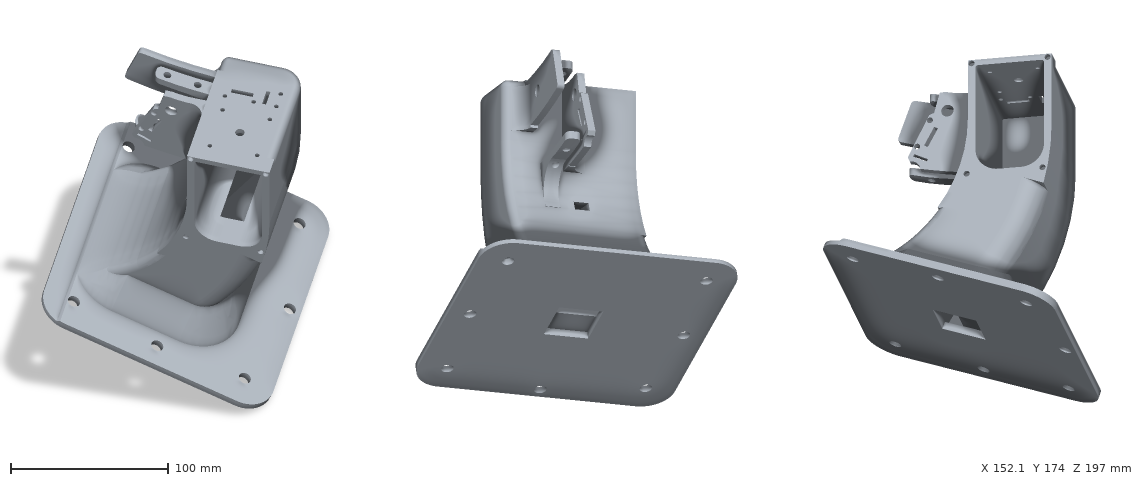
import cadquery as cq
import math

TILT = math.radians(20)

plate_length = 160.0
plate_width = 174.0
plate_thickness = 5.0
plate_corner_radius = 20.0
lip_length = 14.0
lip_step = 2.0
plate_hole_diameter = 8.0

half_width = 45.0
wall = 5.0
top_z = 91.5
left_x = 13.0
right_x = 67.4
inner_radius = 101.0
inner_center_z = 50.6
outer_radius = 158.5
outer_center_z = 42.0
small_round = 5.0
large_round = 15.0

tab_thickness = 5.0
tab_root_radius = 10.0

plate_center_x = 0.5 * plate_thickness * math.sin(TILT)
plate_center_z = -98.5 + 0.5 * plate_length * math.sin(TILT) + plate_thickness * math.cos(TILT)


def plate_plane(height=0.0):
    """Plane parallel to the plate, at a height above the centre of its top face."""
    origin = (
        plate_center_x + height * math.sin(TILT),
        0,
        plate_center_z + height * math.cos(TILT),
    )
    return cq.Workplane(
        cq.Plane(
            origin=origin,
            xDir=(math.cos(TILT), 0, -math.sin(TILT)),
            normal=(math.sin(TILT), 0, math.cos(TILT)),
        )
    )


def plate_point(along, height):
    """X and Z of a point given along the plate's slope and above its top face."""
    return (
        plate_center_x + along * math.cos(TILT) + height * math.sin(TILT),
        plate_center_z - along * math.sin(TILT) + height * math.cos(TILT),
    )


def side_sketch(y_max):
    """XZ workplane at y_max, extruding towards -Y."""
    return cq.Workplane("XZ", origin=(0, y_max, 0))


def prism(points, y_min, y_max):
    return side_sketch(y_max).polyline(points).close().extrude(y_max - y_min)


def circle_x(radius, tangent_x, center_z, z):
    """X at height z on a circle that touches the vertical line x = tangent_x."""
    return tangent_x - radius + math.sqrt(radius**2 - (z - center_z) ** 2)


def base_plate():
    return (
        plate_plane()
        .rect(plate_length, plate_width)
        .extrude(-plate_thickness)
        .edges(cq.selectors.ParallelDirSelector(cq.Vector(math.sin(TILT), 0, math.cos(TILT))))
        .fillet(plate_corner_radius)
    )


lip_end = -plate_length / 2 + lip_length
step_top = lip_end + lip_step


def lip_cut():
    """Everything above the thin lip along the plate's -X edge, with a bevelled step."""
    outside = lip_end - 2 * lip_length
    clearance = 15.8
    points = [
        plate_point(outside, -lip_step),
        plate_point(lip_end, -lip_step),
        plate_point(step_top, 0),
        plate_point(step_top, clearance),
        plate_point(outside, clearance),
    ]
    return prism(points, -plate_width, plate_width)


corner_hole_along = 60.0
corner_hole_y = 67.2
side_hole_y = 72.3
end_hole_along = 72.3


def plate_holes():
    centers = [(end_hole_along, 0)]
    for side in (-1, 1):
        centers.append((0, side * side_hole_y))
        for end in (-1, 1):
            centers.append((end * corner_hole_along, side * corner_hole_y))
    return plate_plane().pushPoints(centers).circle(plate_hole_diameter / 2).extrude(-2 * plate_thickness)


bend_end_z = -25.0
bend_end = (circle_x(inner_radius, left_x, inner_center_z, bend_end_z), bend_end_z)
ramp_toe = plate_point(step_top, 0)
buried = -2.4
arm_heel_z = -74.9
arm_heel = (circle_x(outer_radius, right_x, outer_center_z, arm_heel_z), arm_heel_z)


def arc_middle(radius, tangent_x, center_z, z_from, z_to):
    z = (z_from + z_to) / 2
    return (circle_x(radius, tangent_x, center_z, z), z)


def draw_concave_side(outline):
    """The -X wall's lower end, the bend below it and the ramp that meets the plate."""
    middle = arc_middle(inner_radius, left_x, inner_center_z, inner_center_z, bend_end_z)
    return (
        outline.lineTo(left_x, inner_center_z)
        .threePointArc(middle, bend_end)
        .tangentArcPoint(ramp_toe, relative=False)
    )


def arm_blank():
    outline = side_sketch(half_width).moveTo(right_x, top_z).lineTo(left_x, top_z)
    return (
        draw_concave_side(outline)
        .lineTo(*plate_point(step_top, buried))
        .lineTo(*arm_heel)
        .threePointArc(
            arc_middle(outer_radius, right_x, outer_center_z, arm_heel_z, outer_center_z),
            (right_x, outer_center_z),
        )
        .close()
        .extrude(2 * half_width)
    )


def is_outer_edge(edge):
    center = edge.Center()
    return center.x > 29.5 and -69 < center.z < top_z - 2


def is_inner_edge(edge):
    center = edge.Center()
    return center.x < 19.7 and center.z > ramp_toe[1] and center.z < top_z - 2


def select(body, face, condition):
    return body.newObject([edge for edge in body.faces(face).edges().vals() if condition(edge)])


def round_side(body, side):
    """Round the arm's lengthwise edges on one side: tight inside the bend, wide outside it."""
    body = select(body, side, is_outer_edge).fillet(large_round)
    return select(body, side, is_inner_edge).fillet(small_round)


def is_top_rim(edge):
    """The top edges on +Y and +X, with the rounded corner between them."""
    center = edge.Center()
    return center.y > half_width - large_round or center.x > right_x - small_round


shoulder_outer = (62.9, 1.4)
shoulder_length = 15.8
shoulder_inner = (-5.5, -9.9)
rim_end_y = -33.1


def sharp_region():
    """The part of the -Y side that keeps its square edges."""
    margin = 39.5
    drop = math.tan(TILT)
    points = [
        (shoulder_outer[0] + margin, shoulder_outer[1] - margin * drop),
        (shoulder_outer[0] - shoulder_length, shoulder_outer[1] + shoulder_length * drop),
        (shoulder_inner[0] + margin / 2, shoulder_inner[1]),
        shoulder_inner,
        (shoulder_inner[0] - margin, shoulder_inner[1] + margin / 2),
        (shoulder_inner[0] - margin, top_z + margin),
        (shoulder_outer[0] + margin, top_z + margin),
    ]
    return prism(points, -half_width, rim_end_y + large_round)


upper_tab_y = 30.0


def rim_waste(body):
    """What the rounded top rim takes off: along +X and +Y, ending at the upper tab and near -Y."""
    waste = body.cut(select(body, ">Z", is_top_rim).fillet(small_round))
    square_end = cq.Workplane().box(394.1, half_width + rim_end_y, 394.1)
    square_end = square_end.translate((0, (rim_end_y - half_width) / 2, 0))
    wall_edge = cq.Workplane().box(2 * (left_x + small_round + 0.2), half_width + upper_tab_y, 394.1)
    wall_edge = wall_edge.translate((0, (upper_tab_y - half_width) / 2, 0))
    return waste.cut(square_end).cut(wall_edge)


def arm():
    half_rounded = round_side(arm_blank(), ">Y")
    rounded = round_side(half_rounded, "<Y")
    lower = rounded.cut(sharp_region())
    upper = half_rounded.intersect(sharp_region())
    body = lower.union(upper)
    return body.cut(rim_waste(half_rounded))


flare_center = -11.8
flare_straight = 47.3
flare_base_radius = 33.0
flare_base_width = 123.4
flare_height = 25.5
flare_top_radius = 17.5
flare_top_width = 78.8
flare_top_left_reach = 2.0


def flare():
    """Cone-like foot that grows from the arm to a wide rounded rectangle on the plate."""

    def outline(height, radius, left_reach, width):
        x = flare_straight / 2
        y = width / 2 - radius
        diagonal = math.sqrt(0.5)
        mid_y = y + radius * diagonal
        return (
            plate_plane(height)
            .center(flare_center, 0)
            .moveTo(-x, -width / 2)
            .lineTo(x, -width / 2)
            .threePointArc((x + radius * diagonal, -mid_y), (x + radius, -y))
            .lineTo(x + radius, y)
            .threePointArc((x + radius * diagonal, mid_y), (x, width / 2))
            .lineTo(-x, width / 2)
            .threePointArc((-x - left_reach * diagonal, mid_y), (-x - left_reach, y))
            .lineTo(-x - left_reach, -y)
            .threePointArc((-x - left_reach * diagonal, -mid_y), (-x, -width / 2))
            .close()
            .val()
        )

    base = outline(0, flare_base_radius, flare_base_radius, flare_base_width)
    top = outline(flare_height, flare_top_radius, flare_top_left_reach, flare_top_width)
    solid = cq.Workplane(cq.Solid.makeLoft([base, top], True))
    far = 197
    below_bend = (
        draw_concave_side(side_sketch(far).moveTo(far, inner_center_z))
        .lineTo(*plate_point(step_top, -far))
        .lineTo(far, -far)
        .close()
        .extrude(2 * far)
    )
    return solid.intersect(below_bend)


lower_tab_y = 5.0
hook_y = 20.1
hook_width = 10.0
hook_corner_radius = 3.5
hook_hole_diameter = 5.0
tab_overlap = left_x + 3.0
tab_hole = (-9.5, 78.2)
tab_hole_diameter = 8.0
tab_corner_radius = 2.5
tab_root_top = 89.5


def tab_root(y, z_min, z_max, side):
    """Concave fillet between a tab face at y and the arm's flat -X wall."""
    r = tab_root_radius
    reach = r * (1 - math.sqrt(0.5))
    return (
        cq.Workplane(origin=(0, 0, z_min))
        .moveTo(left_x - r, y)
        .threePointArc((left_x - reach, y + side * reach), (left_x, y + side * r))
        .lineTo(tab_overlap, y + side * r)
        .lineTo(tab_overlap, y - side * tab_thickness)
        .lineTo(left_x - r, y - side * tab_thickness)
        .close()
        .extrude(z_max - z_min)
    )


def upper_tab():
    root_bottom = 57.3
    tab = (
        side_sketch(upper_tab_y)
        .moveTo(-37.5, 99.1)
        .threePointArc((-11.8, 93.0), (tab_overlap, tab_root_top))
        .lineTo(tab_overlap, root_bottom)
        .threePointArc((-23.6, 64.5), (-47.3, 71.3))
        .close()
        .extrude(tab_thickness)
        .edges("|Y and (<X or >Z)")
        .fillet(tab_corner_radius)
    )
    return tab.union(tab_root(upper_tab_y, root_bottom, top_z - small_round, 1))


def lower_tab():
    root_bottom = 33.0
    root_lean = 5
    tab = (
        side_sketch(lower_tab_y)
        .moveTo(-14.4, top_z)
        .lineTo(-9.9, 91.2)
        .threePointArc((-4.0, 90.0), (1.2, tab_root_top))
        .lineTo(tab_overlap, tab_root_top)
        .lineTo(tab_overlap, root_bottom)
        .lineTo(left_x, root_bottom)
        .threePointArc((-8.5, 35.7), (-27.2, 39.2))
        .threePointArc((-28.8, 43.0), (-33.9, 45.0))
        .lineTo(-35.3, 47.9)
        .lineTo(-21.3, 76.3)
        .lineTo(-18.1, 77.5)
        .close()
        .extrude(tab_thickness)
    )
    root_y = lower_tab_y - tab_thickness
    upper_root = tab_root(root_y, inner_center_z, tab_root_top, -1)
    lower_root = tab_root(root_y, root_bottom, inner_center_z, -1)
    hinge = (left_x, 0, inner_center_z)
    lower_root = lower_root.rotate(hinge, (left_x, 1, inner_center_z), root_lean)
    tab = tab.union(upper_root).union(lower_root)

    face = side_sketch(lower_tab_y)
    pin_holes = face.pushPoints([(-20.9, 72.5), (-29.2, 55.0)]).circle(2)
    long_slot = side_sketch(lower_tab_y).center(-20.1, 60.9).transformed((0, 0, 62)).rect(14.0, 2.8)
    short_slot = side_sketch(lower_tab_y).center(-27.0, 47.0).transformed((0, 0, -26)).rect(9.9, 1.8)
    for opening in (pin_holes, long_slot, short_slot):
        tab = tab.cut(opening.extrude(tab_thickness))
    return tab


def upper_hook():
    return (
        side_sketch(hook_y)
        .moveTo(-23.5, 96.2)
        .threePointArc((-7.9, 92.6), (tab_overlap, 89.5))
        .lineTo(tab_overlap, 83.2)
        .lineTo(left_x, 83.2)
        .threePointArc((-7.9, 87.3), (-23.5, 91.0))
        .close()
        .extrude(hook_width)
        .edges("|Z and <X")
        .fillet(hook_corner_radius)
    )


def lower_hook():
    return (
        side_sketch(hook_y)
        .moveTo(-36.9, 45.7)
        .threePointArc((-11.8, 40.2), (tab_overlap, 36.7))
        .lineTo(tab_overlap, 6.1)
        .lineTo(2.0, 6.1)
        .threePointArc((5.7, 19.7), (-8.3, 34.9))
        .threePointArc((-21.7, 37.0), (-36.9, 40.8))
        .close()
        .extrude(hook_width)
        .edges("|Z and <X")
        .fillet(hook_corner_radius)
    )


def hook_holes():
    """Vertical holes, two through each hook."""
    y = hook_y - hook_width / 2
    radius = hook_hole_diameter / 2
    depth = 19.7
    upper = cq.Workplane(origin=(0, y, 78.8)).pushPoints([(-16.0, 0), (4.0, 0)])
    lower = cq.Workplane(origin=(0, y, 27.5)).pushPoints([(-22.7, 0), (-3.0, 0)])
    return upper.circle(radius).extrude(depth).union(lower.circle(radius).extrude(depth))


def tab_holes():
    """One hole in line through both tabs."""
    return side_sketch(upper_tab_y).center(*tab_hole).circle(tab_hole_diameter / 2).extrude(upper_tab_y)


pocket_floor_z = 14.0
pocket_roof_z = 87.5
pocket_left = left_x + wall
pocket_right = right_x - wall
pocket_back_y = half_width - wall
pocket_roof_round = 1.5


def pocket():
    height = pocket_roof_z - pocket_floor_z
    width = pocket_right - pocket_left
    return (
        side_sketch(pocket_back_y)
        .center((pocket_left + pocket_right) / 2, (pocket_roof_z + pocket_floor_z) / 2)
        .rect(width, height)
        .extrude(pocket_back_y + half_width)
        .edges("|Y and <Z")
        .fillet(large_round)
        .edges("|Y and >Z")
        .fillet(pocket_roof_round)
    )


plate_recess = 30.0
recess_depth = 5.1
recess_along = -1.5
recess_y = 2.8


def recess():
    return (
        plate_plane(-plate_thickness)
        .center(recess_along, recess_y)
        .rect(plate_recess, plate_recess)
        .extrude(recess_depth)
    )


channel_left = 30.3
channel_right = 46.3
channel_half_width = 24.2
channel_end = -4.0


def channel():
    """Sloping duct from the pocket floor to one half of the plate's recess."""
    points = [
        (channel_left, pocket_floor_z + 2),
        (channel_right, pocket_floor_z + 2),
        plate_point(channel_end, 0),
        plate_point(recess_along - plate_recess / 2, 0),
    ]
    return prism(points, -channel_half_width, channel_half_width)


window_bottom = 6.1
window_top = 11.8
window_width = 10.0


def window():
    """Small opening from the concave side into the channel."""
    window_end = channel_left + 4
    points = [
        (0, window_bottom),
        (window_end, window_bottom),
        (window_end, window_top),
        (0, window_top),
    ]
    return prism(points, -window_width, 0)


cover_screw_diameter = 4.0
cover_screw_depth = 3.5
roof_hole_diameter = 3.0
roof_center_hole_diameter = 6.0


def cover_screw_holes():
    """Blind holes around the pocket's mouth."""
    centers = [(15.4, 89.0), (64.8, 89.0), (12.2, 12.5), (61.5, 12.5)]
    start = side_sketch(-half_width + cover_screw_depth)
    return start.pushPoints(centers).circle(cover_screw_diameter / 2).extrude(2 * cover_screw_depth)


def roof_openings():
    """Holes and slots through the roof of the pocket."""
    roof = cq.Workplane(origin=(0, 0, pocket_roof_z - 2))
    height = 9.9
    small = [(23.3, 10.0), (42.2, 10.0), (57.2, 10.0), (57.2, 20.9)]
    small += [(x, y) for x in (24.8, 56.0) for y in (-1.5, -32.7)]
    return (
        roof.pushPoints(small)
        .circle(roof_hole_diameter / 2)
        .extrude(height)
        .union(roof.center(40.4, -17.1).circle(roof_center_hole_diameter / 2).extrude(height))
        .union(roof.center(33.3, 15.4).rect(14.4, 3.0).extrude(height))
        .union(roof.center(49.0, 15.4).rect(2.5, 10.8).extrude(height))
    )


result = base_plate().cut(lip_cut())
for added in (flare(), arm(), upper_tab(), lower_tab(), upper_hook(), lower_hook()):
    result = result.union(added)
for removed in (
    tab_holes(),
    hook_holes(),
    pocket(),
    recess(),
    channel(),
    window(),
    cover_screw_holes(),
    roof_openings(),
    plate_holes(),
):
    result = result.cut(removed)